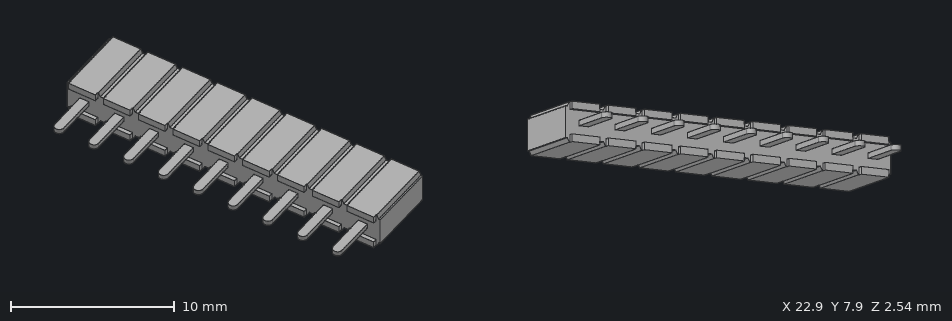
import cadquery as cq

cell_count = 9
strip_length = 22.85
pitch = strip_length / cell_count
strip_height = 2.54
overall_depth = 7.9

body_depth = 4.75
groove_depth = 0.27
groove_top_half_width = 0.25
groove_floor_half_width = 0.11

foot_side_inset = 0.3
foot_width = pitch - 2 * foot_side_inset
foot_height = 0.48
foot_projection = 0.27

pin_width = 0.66
pin_thickness = 0.35
pin_length = overall_depth - body_depth

half_height = strip_height / 2
cell_centers = [(i - (cell_count - 1) / 2) * pitch for i in range(cell_count)]


def make_cell():
    """One housing cell, with half a tapered groove at each of its four edges."""
    half_face = pitch / 2 - groove_top_half_width
    half_floor = pitch / 2 - groove_floor_half_width
    floor_z = half_height - groove_depth
    outline = [
        (-half_face, half_height),
        (half_face, half_height),
        (half_floor, floor_z),
        (pitch / 2, floor_z),
        (pitch / 2, -floor_z),
        (half_floor, -floor_z),
        (half_face, -half_height),
        (-half_face, -half_height),
        (-half_floor, -floor_z),
        (-pitch / 2, -floor_z),
        (-pitch / 2, floor_z),
        (-half_floor, floor_z),
    ]
    return cq.Workplane("XZ").polyline(outline).close().extrude(-body_depth)


def make_feet():
    """Upper and lower standoff feet of one cell, in front of the Y = 0 face."""
    foot_z = half_height - foot_height / 2
    return (
        cq.Workplane("XZ")
        .pushPoints([(0, foot_z), (0, -foot_z)])
        .rect(foot_width, foot_height)
        .extrude(foot_projection)
    )


def make_pin():
    """One pin running from the Y = 0 face to its rounded tip."""
    tip_radius = pin_width / 2
    shank_end = -(pin_length - tip_radius)
    return (
        cq.Workplane("XY")
        .workplane(offset=-pin_thickness / 2)
        .moveTo(-tip_radius, 0)
        .lineTo(-tip_radius, shank_end)
        .threePointArc((0, -pin_length), (tip_radius, shank_end))
        .lineTo(tip_radius, 0)
        .close()
        .extrude(pin_thickness)
    )


cell = make_cell().union(make_feet()).union(make_pin())

result = cell.translate((cell_centers[0], 0, 0))
for center_x in cell_centers[1:]:
    result = result.union(cell.translate((center_x, 0, 0)))
result = result.clean()